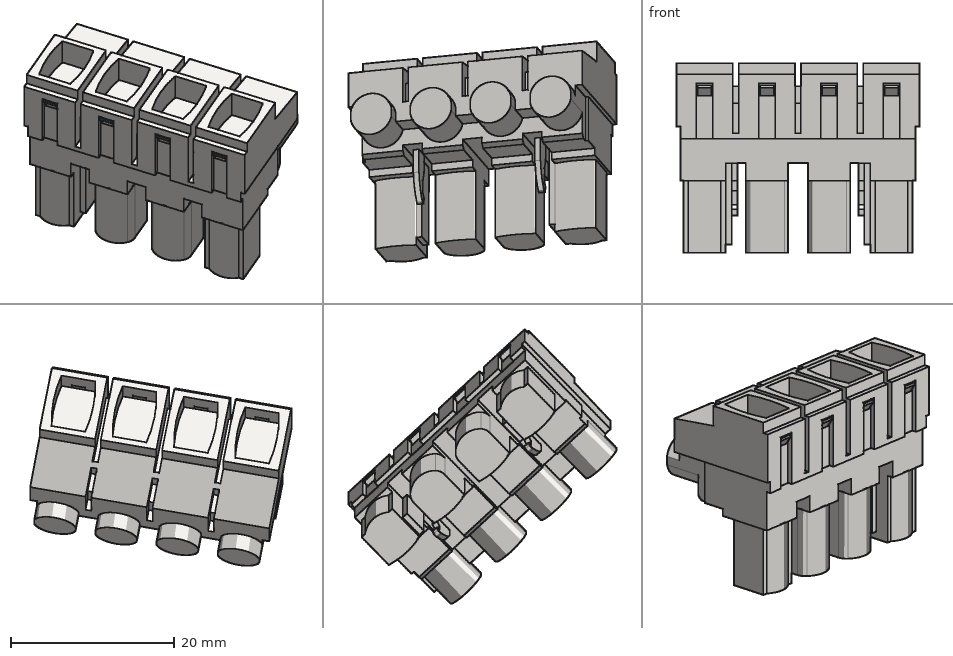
import cadquery as cq

POLE_COUNT = 4
PITCH = 7.63
CAP_LENGTH = 29.8
CAP_BACK = 15.25
POLE_WIDTH = CAP_LENGTH - (POLE_COUNT - 1) * PITCH
SLOT_WIDTH = PITCH - POLE_WIDTH
POLE_XS = [(i - (POLE_COUNT - 1) / 2) * PITCH for i in range(POLE_COUNT)]
GAP_XS = [x + PITCH / 2 for x in POLE_XS[:-1]]

TOP = 23.25
CAP_LIP_BOTTOM = 13.95
CAP_SIDE_BOTTOM = 15.47
TOP_FRONT = 0.7
SHOULDER_Z = 21.85
RIDGE_BACK = 8.88
ROOF_FRONT_Z = 20.62
ROOF_BACK_Z = 19.88

BRIDGE_FRONT = 10.73
BRIDGE_BACK = 11.53
SLOT_FLOOR = 18.3
FRONT_SLOT_FLOOR = 14.63
BACK_STEP_LENGTH = 1.37

FUNNEL_FRONT = 1.43
FUNNEL_BACK = 8.17
FUNNEL_END_WIDTH = 4.2
FUNNEL_MIDDLE_WIDTH = 4.95
PUSHER_TOP = 19.75
PUSHER_BOTTOM = CAP_LIP_BOTTOM
RECESS_WIDTH = 2.03
RECESS_TOP = 20.75
RECESS_DEPTH = 0.63
OPENING_WIDTH = 1.67
OPENING_TOP = 20.53
OPENING_BOTTOM = 19.22
CATCH_SLOPE_TOP = 20.2
CATCH_PROJECTION = 0.57

PLUG_WIDTH = 5.2
BODY_LENGTH = 28.8
BODY_FRONT = 0.6
BODY_BOTTOM = 8.85
BODY_STEP_Y = 7.8
BODY_BACK = 12.13
BODY_BACK_BOTTOM = 9.77
BODY_CHAMFER = 0.5
NARROW_START = 10.7
NARROW_LENGTH = POLE_XS[-1] - POLE_XS[0] + PLUG_WIDTH
NOTCH_TOP = 11.0

BOSS_RADIUS = 2.65
BOSS_Z = 13.55
BOSS_BACK = 17.25
BOSS_FLAT_HALF_HEIGHT = (BOSS_RADIUS**2 - (PLUG_WIDTH / 2) ** 2) ** 0.5
SHELF_BOTTOM = BOSS_Z - BOSS_FLAT_HALF_HEIGHT

PLUG_FRONT = 0.75
OUTER_SHOULDER_Y = 1.43
PLUG_SIDE_BACK = 6.3
PLUG_BACK = 6.62
OUTER_ROUND_WIDTH = 3.95
INNER_SIDE_FRONT = 2.18
INNER_CORNER_RADIUS = 1.55

RIB_WIDTH = 0.75
RIB_FRONT = 3.28
RIB_BOTTOM = 0.98
HOOK_WIDTH = 0.72
HOOK_BACK = 10.1
HOOK_BEND_TOP = 8.08
HOOK_WAIST_Y = 8.3
HOOK_WAIST_TOP = 7.6
HOOK_WAIST_BOTTOM = 5.87
HOOK_BARB_Z = 5.33
HOOK_TIP_FRONT = (8.0, 4.7)
HOOK_TIP = (8.25, 4.53)
HOOK_TIP_BACK = (8.6, 4.7)
HOOK_BEND_MIDDLE = (9.63, 6.32)


def box(x_range, y_range, z_range):
    """A block between two limits along each axis."""
    (x0, x1), (y0, y1), (z0, z1) = x_range, y_range, z_range
    return cq.Workplane("XY").box(x1 - x0, y1 - y0, z1 - z0, centered=False).translate((x0, y0, z0))


def about(x, width):
    """Limits of a width centred on x."""
    return (x - width / 2, x + width / 2)


def side_prism(x_range, profile):
    """Extrude a profile in the YZ plane between two X limits."""
    return profile.extrude(x_range[1] - x_range[0]).translate((x_range[0], 0, 0))


def side_polygon(x_range, points):
    """A prism between two X limits from the (Y, Z) corners of its outline."""
    return side_prism(x_range, cq.Workplane("YZ").polyline(points).close())


def make_cap():
    """Cap with a raised ridge, a sloping roof and a lip along the front."""
    upper = side_polygon(
        about(0, CAP_LENGTH),
        [
            (0, CAP_SIDE_BOTTOM),
            (0, SHOULDER_Z),
            (TOP_FRONT, SHOULDER_Z),
            (TOP_FRONT, TOP),
            (RIDGE_BACK, TOP),
            (RIDGE_BACK, ROOF_FRONT_Z),
            (CAP_BACK, ROOF_BACK_Z),
            (CAP_BACK, CAP_SIDE_BOTTOM),
        ],
    )
    lip = box(about(0, BODY_LENGTH), (0, NARROW_START), (CAP_LIP_BOTTOM, CAP_SIDE_BOTTOM))
    return upper.union(lip)


def make_funnel(x, top):
    """Barrel-shaped prism from the pusher bottom up to a given height."""
    half_end = FUNNEL_END_WIDTH / 2
    half_middle = FUNNEL_MIDDLE_WIDTH / 2
    middle_y = (FUNNEL_FRONT + FUNNEL_BACK) / 2
    return (
        cq.Workplane("XY")
        .moveTo(-half_end, FUNNEL_FRONT)
        .lineTo(half_end, FUNNEL_FRONT)
        .threePointArc((half_middle, middle_y), (half_end, FUNNEL_BACK))
        .lineTo(-half_end, FUNNEL_BACK)
        .threePointArc((-half_middle, middle_y), (-half_end, FUNNEL_FRONT))
        .close()
        .extrude(top - PUSHER_BOTTOM)
        .translate((x, 0, PUSHER_BOTTOM))
    )


def make_pole_cutter(x):
    """Funnel, front recess and the opening between them."""
    recess = box(about(x, RECESS_WIDTH), (0, RECESS_DEPTH), (CAP_LIP_BOTTOM, RECESS_TOP))
    opening = box(
        about(x, OPENING_WIDTH),
        (RECESS_DEPTH, FUNNEL_FRONT),
        (OPENING_BOTTOM, OPENING_TOP),
    )
    return make_funnel(x, TOP).union(recess).union(opening)


def make_pole_slot(x):
    """Cutter for the slot between two poles, leaving a bridge across the roof."""
    width = about(x, SLOT_WIDTH)
    back_step = CAP_BACK - BACK_STEP_LENGTH
    cutter = box(width, (0, FUNNEL_FRONT), (FRONT_SLOT_FLOOR, TOP))
    cutter = cutter.union(box(width, (FUNNEL_FRONT, BRIDGE_FRONT), (SLOT_FLOOR, TOP)))
    cutter = cutter.union(box(width, (BRIDGE_BACK, back_step), (SLOT_FLOOR, TOP)))
    return cutter.union(box(width, (back_step, CAP_BACK), (CAP_SIDE_BOTTOM, TOP)))


def make_lower_body():
    """Body below the cap, narrower at the back."""
    wide = side_polygon(
        about(0, BODY_LENGTH),
        [
            (BODY_FRONT, BODY_BOTTOM),
            (BODY_FRONT, CAP_SIDE_BOTTOM),
            (NARROW_START, CAP_SIDE_BOTTOM),
            (NARROW_START, BODY_BACK_BOTTOM),
            (BODY_STEP_Y, BODY_BACK_BOTTOM),
            (BODY_STEP_Y, BODY_BOTTOM),
        ],
    )
    narrow = side_polygon(
        about(0, NARROW_LENGTH),
        [
            (NARROW_START, BODY_BACK_BOTTOM),
            (NARROW_START, CAP_SIDE_BOTTOM),
            (CAP_BACK, CAP_SIDE_BOTTOM),
            (CAP_BACK, SHELF_BOTTOM),
            (BODY_BACK, SHELF_BOTTOM),
            (BODY_BACK, BODY_BACK_BOTTOM + BODY_CHAMFER),
            (BODY_BACK - BODY_CHAMFER, BODY_BACK_BOTTOM),
        ],
    )
    return wide.union(narrow)


def make_notch(x):
    """Cutter for the gap below the body between two plugs."""
    return box(about(x, PITCH - PLUG_WIDTH), (BODY_FRONT, BODY_BACK), (BODY_BOTTOM, NOTCH_TOP))


def make_boss(x):
    """Round boss with flat sides, running into the back of the body."""
    length = BOSS_BACK - NARROW_START
    cylinder = (
        cq.Workplane("XZ")
        .circle(BOSS_RADIUS)
        .extrude(-length)
        .translate((x, NARROW_START, BOSS_Z))
    )
    flats = box(
        about(x, PLUG_WIDTH),
        (NARROW_START, BOSS_BACK),
        (BOSS_Z - BOSS_RADIUS, BOSS_Z + BOSS_RADIUS),
    )
    return cylinder.intersect(flats)


def finish_plug(outline, x):
    """Close a plug outline along its right side and bowed back, then extrude it."""
    side = PLUG_WIDTH / 2
    return (
        outline.lineTo(side, PLUG_SIDE_BACK)
        .threePointArc((0, PLUG_BACK), (-side, PLUG_SIDE_BACK))
        .close()
        .extrude(BODY_BOTTOM)
        .translate((x, 0, 0))
    )


def make_outer_plug(x):
    """Plug with a round front between two flat shoulders."""
    side = PLUG_WIDTH / 2
    half_round = OUTER_ROUND_WIDTH / 2
    outline = (
        cq.Workplane("XY")
        .moveTo(-side, OUTER_SHOULDER_Y)
        .lineTo(-half_round, OUTER_SHOULDER_Y)
        .threePointArc((0, PLUG_FRONT), (half_round, OUTER_SHOULDER_Y))
        .lineTo(side, OUTER_SHOULDER_Y)
    )
    return finish_plug(outline, x)


def make_inner_plug(x):
    """Plug with a round front across its full width and rounded front corners."""
    side = PLUG_WIDTH / 2
    outline = (
        cq.Workplane("XY")
        .moveTo(-side, INNER_SIDE_FRONT)
        .threePointArc((0, PLUG_FRONT), (side, INNER_SIDE_FRONT))
    )
    corners = cq.selectors.BoxSelector(
        (x - PLUG_WIDTH, 0, 0),
        (x + PLUG_WIDTH, PLUG_SIDE_BACK / 2, BODY_BOTTOM),
    )
    return finish_plug(outline, x).edges("|Z").edges(corners).fillet(INNER_CORNER_RADIUS)


def make_latch_side(plug_x):
    """Coding rib and latch hook on the right of the left outer plug."""
    rib_start = plug_x + PLUG_WIDTH / 2
    hook_start = rib_start + RIB_WIDTH
    rib = box((rib_start, hook_start), (RIB_FRONT, PLUG_SIDE_BACK), (RIB_BOTTOM, NOTCH_TOP))
    hook_profile = (
        cq.Workplane("YZ")
        .moveTo(BODY_STEP_Y, NOTCH_TOP)
        .lineTo(BODY_STEP_Y, BODY_BOTTOM)
        .lineTo(HOOK_WAIST_Y, HOOK_WAIST_TOP)
        .lineTo(HOOK_WAIST_Y, HOOK_WAIST_BOTTOM)
        .lineTo(BODY_STEP_Y, HOOK_BARB_Z)
        .lineTo(*HOOK_TIP_FRONT)
        .threePointArc(HOOK_TIP, HOOK_TIP_BACK)
        .threePointArc(HOOK_BEND_MIDDLE, (HOOK_BACK, HOOK_BEND_TOP))
        .lineTo(HOOK_BACK, NOTCH_TOP)
        .close()
    )
    hook = side_prism((hook_start, hook_start + HOOK_WIDTH), hook_profile)
    return rib.union(hook)


def make_housing():
    """Cap, body, bosses, plugs and latches as one solid."""
    housing = make_cap().union(make_lower_body())
    for x in GAP_XS:
        housing = housing.cut(make_pole_slot(x)).cut(make_notch(x))
    for x in POLE_XS:
        housing = housing.cut(make_pole_cutter(x)).union(make_boss(x))
    for x in (POLE_XS[0], POLE_XS[-1]):
        housing = housing.union(make_outer_plug(x))
    for x in POLE_XS[1:-1]:
        housing = housing.union(make_inner_plug(x))
    latch_side = make_latch_side(POLE_XS[0])
    return housing.union(latch_side).union(latch_side.mirror("YZ"))


def make_pusher(x):
    """Pusher that fills the funnel below its mouth, with a catch through the front opening."""
    block = make_funnel(x, PUSHER_TOP)
    catch_front = RECESS_DEPTH - CATCH_PROJECTION
    catch = side_polygon(
        about(x, OPENING_WIDTH),
        [
            (FUNNEL_FRONT, OPENING_BOTTOM),
            (RECESS_DEPTH, OPENING_BOTTOM),
            (catch_front, CATCH_SLOPE_TOP),
            (catch_front, OPENING_TOP),
            (FUNNEL_FRONT, OPENING_TOP),
        ],
    )
    return block.union(catch)


housing = make_housing()
pushers = [make_pusher(x) for x in POLE_XS]

result = cq.Compound.makeCompound([housing.val(), *[pusher.val() for pusher in pushers]])